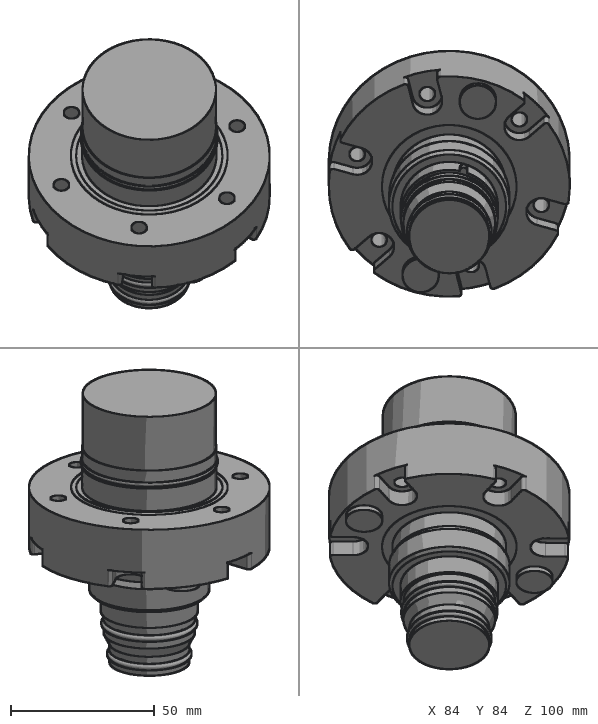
import cadquery as cq
import math

TOTAL_HEIGHT = 100.0
NOSE_DIAMETER = 28.0
NOSE_TOP = 7.1
NECK_DIAMETER = 32.0
NECK_BOTTOM = 10.9
NECK_TOP = 19.0
WAIST_DIAMETER = 34.0
COLLAR_DIAMETER = 42.0
COLLAR_BOTTOM = 25.9
COLLAR_TOP = 37.0
COLLAR_LOWER_CHAMFER = 1.2
COLLAR_UPPER_CHAMFER_HEIGHT = 2.1
STEM_DIAMETER = 39.7
SPIGOT_DIAMETER = 46.9
SPIGOT_TOP = 80.0
HEAD_DIAMETER = 46.5

NOSE_GROOVE_DIAMETER = 25.6
NOSE_GROOVE_BOTTOM = 2.0
NECK_GROOVE_DIAMETER = 29.6
NECK_GROOVE_BOTTOM = 13.4
LOWER_GROOVE_HEIGHT = 2.5
LOWER_RING_CORD = 2.0
SPIGOT_GROOVE_DIAMETER = 44.6
SPIGOT_GROOVE_BOTTOM = 73.3
SPIGOT_GROOVE_HEIGHT = 2.2
SPIGOT_RING_CORD = 1.6

LOCATING_PIN_DIAMETER = 2.7
LOCATING_PIN_RADIUS = 17.3
LOCATING_PIN_HEIGHT = 2.6

FLANGE_DIAMETER = 84.0
FLANGE_BOTTOM = 43.0
FLANGE_TOP = 65.0
FACE_RING_RADIUS = 26.4
FACE_RING_CORD = 2.0
FACE_RING_PROTRUSION = 0.6
BOLT_COUNT = 6
FIRST_BOLT_ANGLE = 90.0
BOLT_CIRCLE_RADIUS = 33.5
BOLT_HOLE_DIAMETER = 5.4
BOLT_POCKET_WIDTH = 10.4
POCKET_MOUTH_RADIUS = 1.1
BOLT_POCKET_DEPTH = 6.0
FOOT_DIAMETER = 12.7
FOOT_HEIGHT = 2.0
FOOT_RADIUS = 34.5


def disc(diameter, bottom, top):
    """Round disc on the Z axis between two heights."""
    return cq.Workplane("XY").workplane(offset=bottom).circle(diameter / 2).extrude(top - bottom)


def cut_groove(body, floor_diameter, bottom, height):
    """Cut a square ring groove down to the floor diameter."""
    outside = disc(FLANGE_DIAMETER, bottom, bottom + height)
    return body.cut(outside.cut(disc(floor_diameter, bottom, bottom + height)))


def seated_ring(floor_diameter, cord, bottom):
    """O-ring filled in down to the groove floor, with a half-round outer edge."""
    floor_radius = floor_diameter / 2
    crown_radius = floor_radius + cord / 2
    profile = (
        cq.Workplane("XZ")
        .moveTo(floor_radius, bottom)
        .lineTo(crown_radius, bottom)
        .threePointArc((floor_radius + cord, bottom + cord / 2), (crown_radius, bottom + cord))
        .lineTo(floor_radius, bottom + cord)
        .close()
    )
    return profile.revolve(360, (0, 0, 0), (0, 1, 0))


def cartridge_blank():
    """Revolved stepped outline of the cartridge, without grooves."""
    outline = [
        (0, 0),
        (NOSE_DIAMETER / 2, 0),
        (NOSE_DIAMETER / 2, NOSE_TOP),
        (NECK_DIAMETER / 2, NECK_BOTTOM),
        (NECK_DIAMETER / 2, NECK_TOP),
        (WAIST_DIAMETER / 2, NECK_TOP),
        (WAIST_DIAMETER / 2, COLLAR_BOTTOM),
        (COLLAR_DIAMETER / 2 - COLLAR_LOWER_CHAMFER, COLLAR_BOTTOM),
        (COLLAR_DIAMETER / 2, COLLAR_BOTTOM + COLLAR_LOWER_CHAMFER),
        (COLLAR_DIAMETER / 2, COLLAR_TOP - COLLAR_UPPER_CHAMFER_HEIGHT),
        (STEM_DIAMETER / 2, COLLAR_TOP),
        (STEM_DIAMETER / 2, FLANGE_BOTTOM),
        (SPIGOT_DIAMETER / 2, FLANGE_BOTTOM),
        (SPIGOT_DIAMETER / 2, SPIGOT_TOP),
        (HEAD_DIAMETER / 2, SPIGOT_TOP),
        (HEAD_DIAMETER / 2, TOTAL_HEIGHT),
        (0, TOTAL_HEIGHT),
    ]
    return cq.Workplane("XZ").polyline(outline).close().revolve(360, (0, 0, 0), (0, 1, 0))


def locating_pin():
    """Round pin parallel to the Z axis, its underside level with the bottom of the waist."""
    pin = disc(LOCATING_PIN_DIAMETER, NECK_TOP, NECK_TOP + LOCATING_PIN_HEIGHT)
    return pin.translate((LOCATING_PIN_RADIUS, 0, 0))


def make_cartridge():
    body = cartridge_blank().union(locating_pin())

    lower_grooves = [
        (NOSE_GROOVE_DIAMETER, NOSE_GROOVE_BOTTOM),
        (NECK_GROOVE_DIAMETER, NECK_GROOVE_BOTTOM),
    ]
    for floor_diameter, bottom in lower_grooves:
        body = cut_groove(body, floor_diameter, bottom, LOWER_GROOVE_HEIGHT)
        body = body.union(seated_ring(floor_diameter, LOWER_RING_CORD, bottom))

    body = cut_groove(body, SPIGOT_GROOVE_DIAMETER, SPIGOT_GROOVE_BOTTOM, SPIGOT_GROOVE_HEIGHT)
    ring_bottom = SPIGOT_GROOVE_BOTTOM + SPIGOT_GROOVE_HEIGHT - SPIGOT_RING_CORD
    return body.union(seated_ring(SPIGOT_GROOVE_DIAMETER, SPIGOT_RING_CORD, ring_bottom))


def face_ring():
    """O-ring partly sunk into the top face of the flange."""
    center_height = FLANGE_TOP + FACE_RING_PROTRUSION - FACE_RING_CORD / 2
    section = cq.Workplane("XZ").center(FACE_RING_RADIUS, center_height).circle(FACE_RING_CORD / 2)
    return section.revolve(360, (-FACE_RING_RADIUS, 0, 0), (-FACE_RING_RADIUS, 1, 0))


def bolt_pocket():
    """Round-ended pocket on the +X axis, its mouth rounded where it runs out through the rim."""
    half_width = BOLT_POCKET_WIDTH / 2
    rim_radius = FLANGE_DIAMETER / 2
    beyond_rim = rim_radius + POCKET_MOUTH_RADIUS

    arc_center_y = half_width + POCKET_MOUTH_RADIUS
    arc_center_distance = rim_radius - POCKET_MOUTH_RADIUS
    arc_center_x = math.sqrt(arc_center_distance**2 - arc_center_y**2)
    rim_scale = rim_radius / arc_center_distance
    rim_x = arc_center_x * rim_scale
    rim_y = arc_center_y * rim_scale

    middle_angle = (math.atan2(arc_center_y, arc_center_x) - math.pi / 2) / 2
    middle_x = arc_center_x + POCKET_MOUTH_RADIUS * math.cos(middle_angle)
    middle_y = arc_center_y + POCKET_MOUTH_RADIUS * math.sin(middle_angle)

    return (
        cq.Workplane("XY")
        .workplane(offset=FLANGE_BOTTOM)
        .moveTo(BOLT_CIRCLE_RADIUS, -half_width)
        .threePointArc((BOLT_CIRCLE_RADIUS - half_width, 0), (BOLT_CIRCLE_RADIUS, half_width))
        .lineTo(arc_center_x, half_width)
        .threePointArc((middle_x, middle_y), (rim_x, rim_y))
        .lineTo(beyond_rim, rim_y)
        .lineTo(beyond_rim, -rim_y)
        .lineTo(rim_x, -rim_y)
        .threePointArc((middle_x, -middle_y), (arc_center_x, -half_width))
        .close()
        .extrude(BOLT_POCKET_DEPTH)
    )


def bolt_cutter(angle):
    """Through hole and the pocket below it, turned to one bolt position."""
    hole = disc(BOLT_HOLE_DIAMETER, FLANGE_BOTTOM, FLANGE_TOP).translate((BOLT_CIRCLE_RADIUS, 0, 0))
    return hole.union(bolt_pocket()).rotate((0, 0, 0), (0, 0, 1), angle)


def foot(side):
    """Round foot under the flange, on the -X or +X side."""
    pad = disc(FOOT_DIAMETER, FLANGE_BOTTOM - FOOT_HEIGHT, FLANGE_BOTTOM)
    return pad.translate((side * FOOT_RADIUS, 0, 0))


def make_flange():
    body = disc(FLANGE_DIAMETER, FLANGE_BOTTOM, FLANGE_TOP)
    body = body.cut(disc(SPIGOT_DIAMETER, FLANGE_BOTTOM, FLANGE_TOP))
    body = body.union(face_ring())
    for index in range(BOLT_COUNT):
        body = body.cut(bolt_cutter(FIRST_BOLT_ANGLE + index * 360 / BOLT_COUNT))
    for side in (-1, 1):
        body = body.union(foot(side))
    return body


cartridge = make_cartridge().solids()
flange = make_flange().solids()
result = cq.Compound.makeCompound([cartridge.val(), flange.val()])